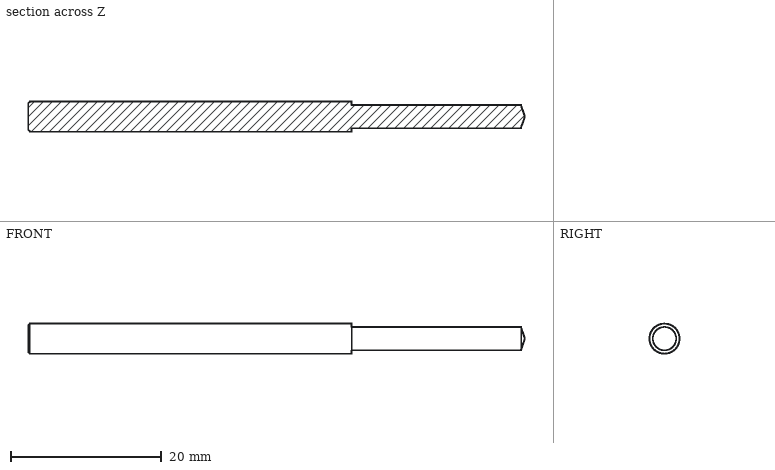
import cadquery as cq

total_length = 66.0
body_length = 42.95
body_diameter = 4.0
body_chamfer = 0.25
shank_diameter = 3.1
tip_length = 0.5

body_radius = body_diameter / 2
shank_radius = shank_diameter / 2
tip_start = total_length - tip_length

half_profile = (
    cq.Workplane("XY")
    .moveTo(0, 0)
    .lineTo(0, body_radius - body_chamfer)
    .lineTo(body_chamfer, body_radius)
    .lineTo(body_length, body_radius)
    .lineTo(body_length, shank_radius)
    .lineTo(tip_start, shank_radius)
    .lineTo(total_length, 0)
    .close()
)

result = half_profile.revolve(360, (0, 0, 0), (1, 0, 0))